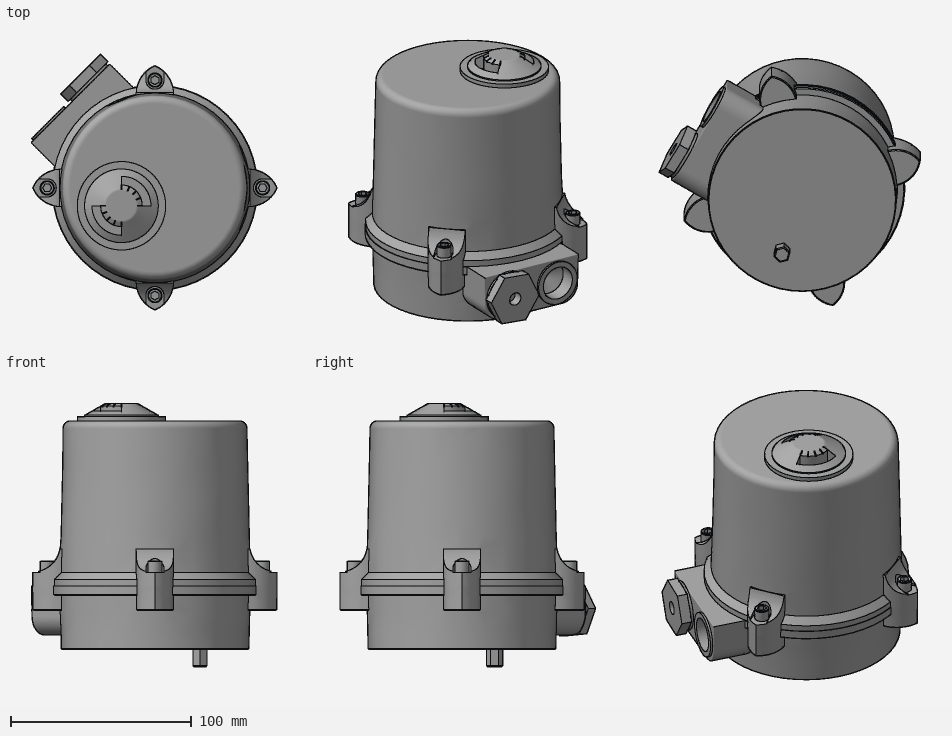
import cadquery as cq
import math

parting_z = 35.1
flange_bottom_z = 29.9
flange_edge_z = 38.6
flange_top_z = 42.5
cover_top_z = 126.5

base_bottom_radius = 104.0 / 2
wall_radius = 52.7
cover_top_radius = 50.8
base_flange_radius = 56.8
cover_flange_radius = 56.5
base_chamfer = 0.5
flange_chamfer = 0.6
cover_fillet = 4.2

lug_count = 4
lug_tip = 67.6
lug_inner = 43.7
lug_half_width = 10.3
lug_bottom_z = 21.5
lug_top_z = 55.5
lug_taper = 0.5
lug_chamfer = 0.6
scoop_radius = 15.2
scoop_x = 67.6
scoop_z = 58.0

screw_x = 59.6
screw_diameter = 7.9
screw_top_z = 49.0
screw_chamfer = 0.5
socket_diameter = 5.0
socket_depth = 2.9
seat_diameter = 10.0
seat_drop = 0.3
seat_z = scoop_z - scoop_radius - seat_drop

box_face = 66.1
box_inner = 29.1
box_half_width = 30.7
box_bottom_half_width = 30.0
box_bottom_z = 7.9
box_corner_radius = 10.2
box_edge_fillet = 0.5

port_offset = 16.3
plug_offset = 15.5
port_z = 21.5
port_diameter = 19.0
port_boss_diameter = 25.2
port_boss_height = 1.3
port_depth = 9.5
port_point_angle = 118.0
plug_collar_diameter = 28.0
plug_collar_height = 1.6
plug_hex_diameter = 31.3
plug_outer_face = 73.6
plug_turn = -4.0
plug_hole_diameter = 7.3

dial_x = -18.5
dial_y = -9.9
dial_plate_radius = 24.5
dial_plate_height = 2.3
dial_radius = 20.4
dial_rim_height = 0.7
dial_flat_radius = 8.9
dial_top_z = 136.1
dial_edge_fillet = 2.2
window_outer_radius = 16.3
window_inner_radius = 23.0 / 2
scale_divisions = 4
tick_width = 0.5
tick_floor_z = 134.0

shaft_x = 24.9
shaft_y = 18.0
shaft_flats = 7.9
shaft_length = 9.6
shaft_chamfer = 0.6
shaft_embed = 7.3


def ring_of_lugs(lug):
    """Repeat a feature made on the +X side around the body axis."""
    ring = lug
    for index in range(1, lug_count):
        ring = ring.union(lug.rotate((0, 0, 0), (0, 0, 1), index * 360 / lug_count))
    return ring


def make_body():
    """Base, flange and cover as one turned solid."""
    profile = (
        cq.Workplane("XZ")
        .lineTo(base_bottom_radius - base_chamfer, 0)
        .lineTo(base_bottom_radius, base_chamfer)
        .lineTo(wall_radius, flange_bottom_z)
        .lineTo(base_flange_radius - flange_chamfer, flange_bottom_z)
        .lineTo(base_flange_radius, flange_bottom_z + flange_chamfer)
        .lineTo(base_flange_radius, parting_z)
        .lineTo(cover_flange_radius, parting_z)
        .lineTo(cover_flange_radius, flange_edge_z)
        .lineTo(wall_radius, flange_top_z)
        .lineTo(cover_top_radius, cover_top_z)
        .lineTo(0, cover_top_z)
        .close()
    )
    body = profile.revolve(360, (0, 0, 0), (0, 1, 0))
    return body.faces(">Z").edges().fillet(cover_fillet)


def lug_outline(height):
    """Pointed-arch outline, with its arcs tangent to the straight sides."""
    arc_start = base_bottom_radius
    reach = lug_tip - arc_start
    arc_radius = (reach**2 + lug_half_width**2) / (2 * lug_half_width)
    half_angle = math.asin(reach / arc_radius) / 2
    mid_x = arc_start + arc_radius * math.sin(half_angle)
    mid_y = lug_half_width - arc_radius * (1 - math.cos(half_angle))
    return (
        cq.Workplane("XY", origin=(0, 0, height))
        .moveTo(lug_inner, -lug_half_width)
        .lineTo(arc_start, -lug_half_width)
        .threePointArc((mid_x, -mid_y), (lug_tip, 0))
        .threePointArc((mid_x, mid_y), (arc_start, lug_half_width))
        .lineTo(lug_inner, lug_half_width)
        .close()
    )


def make_lug():
    """One lug with its scooped top and the flat seat under the screw head."""
    lower = lug_outline(parting_z).extrude(lug_bottom_z - parting_z, taper=lug_taper)
    lower = lower.faces("<Z").chamfer(lug_chamfer)
    upper = lug_outline(parting_z).extrude(lug_top_z - parting_z)

    diagonal = scoop_radius * math.sqrt(0.5)
    scoop = (
        cq.Workplane("XZ")
        .moveTo(scoop_x - scoop_radius, scoop_z)
        .threePointArc((scoop_x - diagonal, scoop_z - diagonal), (scoop_x, scoop_z - scoop_radius))
        .lineTo(scoop_x + scoop_radius, scoop_z - scoop_radius)
        .lineTo(scoop_x + scoop_radius, scoop_z)
        .close()
        .extrude(lug_half_width, both=True)
    )
    seat_height = lug_top_z - seat_z
    seat_plane = cq.Workplane("XY", origin=(screw_x, 0, seat_z))
    seat = seat_plane.circle(seat_diameter / 2).extrude(seat_height)
    seat_slot = seat_plane.box(
        scoop_radius, seat_diameter, seat_height, centered=(False, True, False)
    )
    return lower.union(upper.cut(scoop).cut(seat).cut(seat_slot))


def make_screw():
    """Cap screw head with a hexagon socket."""
    return (
        cq.Workplane("XY", origin=(screw_x, 0, parting_z))
        .circle(screw_diameter / 2)
        .extrude(screw_top_z - parting_z)
        .faces(">Z")
        .chamfer(screw_chamfer)
        .faces(">Z")
        .workplane()
        .polygon(6, socket_diameter)
        .cutBlind(-socket_depth)
    )


def box_plane(distance):
    """Plane parallel to the box face: local X along the face, local Y up."""
    reach = distance * math.sqrt(0.5)
    return cq.Workplane(cq.Plane(origin=(-reach, reach, 0), xDir=(-1, -1, 0), normal=(-1, 1, 0)))


def make_conduit_box():
    box = (
        box_plane(box_inner)
        .polyline(
            [
                (-box_half_width, parting_z),
                (box_half_width, parting_z),
                (box_bottom_half_width, box_bottom_z),
                (-box_bottom_half_width, box_bottom_z),
            ]
        )
        .close()
        .extrude(box_face - box_inner)
    )
    outward = cq.Vector(-1, 1, 0)
    box = box.edges(cq.selectors.ParallelDirSelector(outward)).edges("<Z").fillet(box_corner_radius)
    outer_face = cq.selectors.DirectionMinMaxSelector(outward, True)
    return box.faces(outer_face).edges().fillet(box_edge_fillet)


def add_ports(body):
    """Open port with a raised ring, and a hexagon plug in the other port."""
    boss_face = box_face + port_boss_height
    boss = box_plane(box_face).center(port_offset, port_z).circle(port_boss_diameter / 2)
    boss = boss.extrude(port_boss_height)
    port_radius = port_diameter / 2
    point_depth = port_radius / math.tan(math.radians(port_point_angle / 2))
    turned_bore = (
        cq.Workplane("XZ")
        .lineTo(port_radius, 0)
        .lineTo(port_radius, -port_depth)
        .lineTo(0, -port_depth - point_depth)
        .close()
        .revolve(360, (0, 0, 0), (0, 1, 0))
    )
    bore_plane = box_plane(boss_face).center(port_offset, port_z).plane
    bore = cq.Workplane(turned_bore.val().located(bore_plane.location))

    plug_back = box_face + plug_collar_height
    plug_height = plug_outer_face - plug_back
    collar = box_plane(box_face).center(-plug_offset, port_z).circle(plug_collar_diameter / 2)
    collar = collar.extrude(plug_collar_height)
    plug = (
        box_plane(plug_back)
        .center(-plug_offset, port_z)
        .transformed(rotate=(0, 0, plug_turn))
        .polygon(6, plug_hex_diameter)
        .extrude(plug_height)
    )
    plug_hole = box_plane(plug_outer_face).center(-plug_offset, port_z).circle(plug_hole_diameter / 2)
    plug_hole = plug_hole.extrude(-plug_height)
    return body.union(boss).cut(bore).union(collar).union(plug).cut(plug_hole)


def make_dial():
    """Round plate carrying a conical dial with two quarter-turn windows."""
    plate_top_z = cover_top_z + dial_plate_height
    plate = (
        cq.Workplane("XY", origin=(0, 0, cover_top_z))
        .circle(dial_plate_radius)
        .extrude(dial_plate_height)
    )
    cone = (
        cq.Workplane("XZ")
        .moveTo(0, plate_top_z)
        .lineTo(dial_radius, plate_top_z)
        .lineTo(dial_radius, plate_top_z + dial_rim_height)
        .lineTo(dial_flat_radius, dial_top_z)
        .lineTo(0, dial_top_z)
        .close()
        .revolve(360, (0, 0, 0), (0, 1, 0))
        .faces(">Z")
        .edges()
        .fillet(dial_edge_fillet)
    )
    window = (
        cq.Workplane("XZ")
        .moveTo(window_inner_radius, cover_top_z)
        .lineTo(window_outer_radius, cover_top_z)
        .lineTo(window_outer_radius, dial_top_z)
        .lineTo(window_inner_radius, dial_top_z)
        .close()
        .revolve(90, (0, 0, 0), (0, 1, 0))
    )
    tick_length = window_inner_radius - dial_flat_radius
    tick = cq.Workplane("XY", origin=(dial_flat_radius, 0, tick_floor_z)).box(
        tick_length, tick_width, dial_top_z - tick_floor_z, centered=(False, True, False)
    )
    for step in range(scale_divisions + 1):
        window = window.union(tick.rotate((0, 0, 0), (0, 0, 1), step * 90 / scale_divisions))
    opposite_window = window.rotate((0, 0, 0), (0, 0, 1), 180)
    dial = plate.union(cone).cut(window).cut(opposite_window)
    return dial.translate((dial_x, dial_y, 0))


def make_shaft():
    """Hexagon drive shaft with two corners along Y."""
    return (
        cq.Workplane("XY", origin=(shaft_x, shaft_y, -shaft_length))
        .transformed(rotate=(0, 0, 90))
        .polygon(6, shaft_flats / math.cos(math.pi / 6))
        .extrude(shaft_length + shaft_embed)
        .faces("<Z")
        .chamfer(shaft_chamfer)
    )


body = make_body().union(make_conduit_box()).union(ring_of_lugs(make_lug()))
body = add_ports(body)
body = body.union(ring_of_lugs(make_screw()))
result = body.union(make_dial()).union(make_shaft())